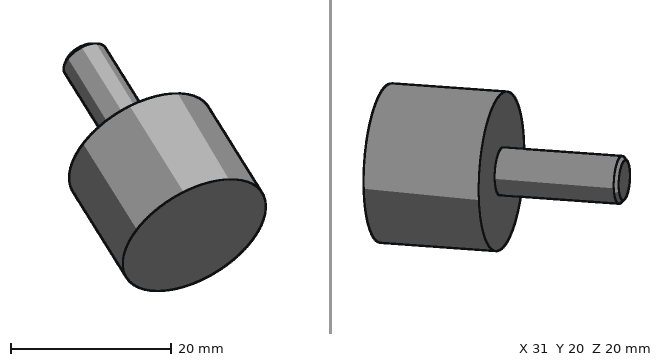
import cadquery as cq

total_length = 31.0
body_length = 15.0
body_diameter = 20.0
stud_diameter = 6.0
stud_tip_chamfer = 0.5

stud_length = total_length - body_length


def make_body():
    """Cylinder along +X, starting at the shoulder plane X = 0."""
    return cq.Workplane("YZ").circle(body_diameter / 2).extrude(body_length)


def make_stud():
    """Coaxial stud along -X with a chamfered free end."""
    stud = cq.Workplane("YZ").circle(stud_diameter / 2).extrude(-stud_length)
    return stud.faces("<X").chamfer(stud_tip_chamfer)


result = make_body().union(make_stud())